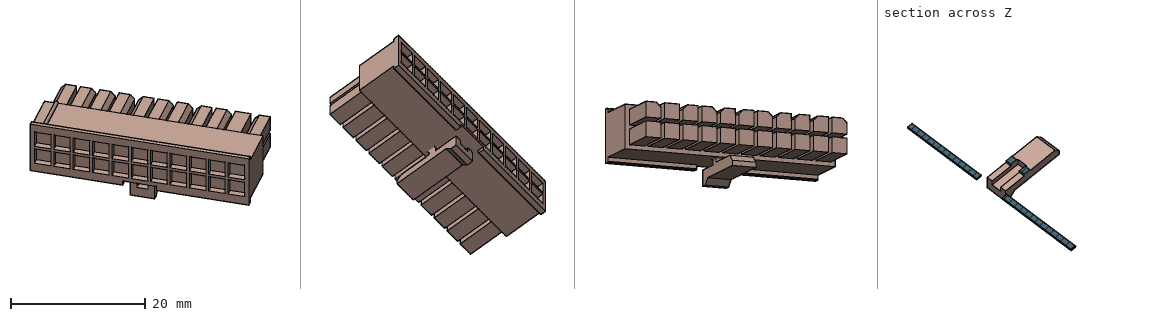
import cadquery as cq

length = 33.85
total_depth = 14.0

housing_depth = 7.65
housing_height = 6.8
flange_depth = 1.0
flange_top = 7.5
flange_bottom = -0.75
flange_top_chamfer = 0.3
flange_bottom_chamfer = 0.15
flange_notch_width = 5.2

rib_radius = 0.3
rib_from_end = 1.85

columns = 11
rows = 2
pitch = 3.0

port_size = 2.55
port_depth = 1.0
lower_port_z = 1.95

tower_size = 2.4
tower_chamfer = 0.7
lower_tower_z = 1.85
left_chamfered_columns = (0, 4, 7, 10)
right_chamfered_columns = (1, 2, 3, 5, 6, 8)

latch_width = 3.8
latch_front = 1.52
latch_rear = 13.05
latch_bottom = -2.37
front_arm_top = -0.85
rear_arm_top = -0.65
rear_chamfer = 0.95
hook_bottom = -3.32
hook_tip_length = 1.0
post_front = 5.52
post_rear = 6.75
post_fillet = 0.3
slot_width = 1.73
slot_floor = -1.75


def block(x_min, x_max, y_min, y_max, z_min, z_max):
    """Axis-aligned box between two opposite corners."""
    size = (x_max - x_min, y_max - y_min, z_max - z_min)
    return cq.Workplane("XY").box(*size, centered=False).translate((x_min, y_min, z_min))


def extrude_across(profile, width):
    """Extrude a YZ profile along X, centred on the connector."""
    return profile.extrude(width / 2, both=True)


def column_x(column):
    return (column - (columns - 1) / 2) * pitch


def make_housing():
    body = block(-length / 2, length / 2, 0, housing_depth, 0, housing_height)
    flange = extrude_across(
        cq.Workplane("YZ")
        .moveTo(0, flange_bottom)
        .lineTo(flange_depth - flange_bottom_chamfer, flange_bottom)
        .lineTo(flange_depth, flange_bottom + flange_bottom_chamfer)
        .lineTo(flange_depth, flange_top - flange_top_chamfer)
        .lineTo(flange_depth - flange_top_chamfer, flange_top)
        .lineTo(0, flange_top)
        .close(),
        length,
    )
    notch = block(-flange_notch_width / 2, flange_notch_width / 2, 0, flange_depth, flange_bottom, 0)
    return body.union(flange.cut(notch))


def make_rib():
    return (
        cq.Workplane("XZ", origin=(rib_from_end - length / 2, 0, housing_height))
        .circle(rib_radius)
        .extrude(-housing_depth)
    )


def make_port(column, row):
    x = column_x(column)
    z = lower_port_z + row * pitch
    half = port_size / 2
    return block(x - half, x + half, 0, port_depth, z - half, z + half)


def make_tower(column, row):
    x = column_x(column)
    z = lower_tower_z + row * pitch
    half = tower_size / 2
    tower = block(x - half, x + half, housing_depth, total_depth, z - half, z + half)
    if row == rows - 1 and column in left_chamfered_columns:
        tower = tower.edges("|Y and <X and >Z").chamfer(tower_chamfer)
    if row == rows - 1 and column in right_chamfered_columns:
        tower = tower.edges("|Y and >X and >Z").chamfer(tower_chamfer)
    return tower


def make_latch():
    """Lever and post, before the slot is cut."""
    hook_height = latch_bottom - hook_bottom
    hook_slope_start = latch_front + hook_tip_length
    return extrude_across(
        cq.Workplane("YZ")
        .moveTo(latch_front, hook_bottom)
        .lineTo(hook_slope_start, hook_bottom)
        .lineTo(hook_slope_start + hook_height, latch_bottom)
        .lineTo(latch_rear, latch_bottom)
        .lineTo(latch_rear, rear_arm_top - rear_chamfer)
        .lineTo(latch_rear - rear_chamfer, rear_arm_top)
        .lineTo(post_rear + post_fillet, rear_arm_top)
        .radiusArc((post_rear, rear_arm_top + post_fillet), post_fillet)
        .lineTo(post_rear, 0)
        .lineTo(post_front, 0)
        .lineTo(post_front, front_arm_top)
        .lineTo(latch_front, front_arm_top)
        .close(),
        latch_width,
    )


def round_post_root(connector):
    """Fillet the rear and both outer sides of the post where it meets the housing."""
    margin = 0.05
    around_sides_and_rear = cq.selectors.BoxSelector(
        (-latch_width / 2 - margin, post_front + margin, -margin),
        (latch_width / 2 + margin, post_rear + margin, margin),
    )
    return connector.edges(around_sides_and_rear).fillet(post_fillet)


def make_latch_slot():
    """Slot through the front arm and the post, leaving a floor under it."""
    slot_rear = post_rear + post_fillet
    return block(-slot_width / 2, slot_width / 2, latch_front, slot_rear, slot_floor, 0)


result = make_housing().union(make_rib()).union(make_latch())
result = round_post_root(result).cut(make_latch_slot())
for row in range(rows):
    for column in range(columns):
        result = result.cut(make_port(column, row))
        result = result.union(make_tower(column, row))